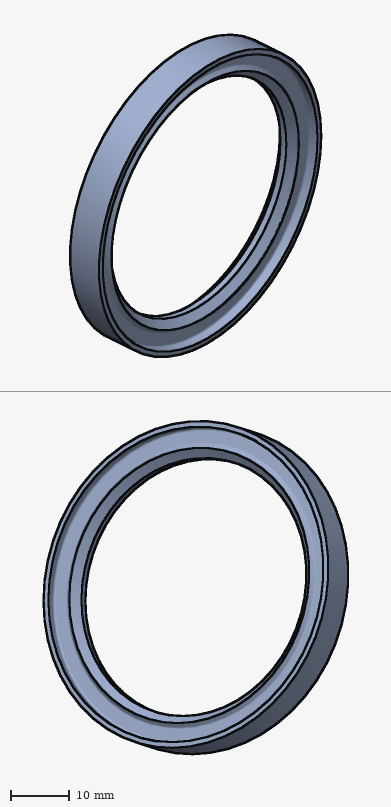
import cadquery as cq

outer_radius = 57 / 2
rim_inner_radius = 55.0 / 2
lip_base_radius = 24.8
lip_crest_radius = 24.0
bore_radius = 45.0 / 2

ring_width = 6.7
floor_depth = 1.9
lip_crest_depth = 1.15
bore_start_depth = 2.7

corner_fillet = 0.4
selection_margin = 0.05

side_outline = [
    (0, outer_radius),
    (0, rim_inner_radius),
    (floor_depth, rim_inner_radius),
    (floor_depth, lip_base_radius),
    (lip_crest_depth, lip_crest_radius),
    (bore_start_depth, bore_radius),
]

mirrored_outline = [(ring_width - depth, radius) for depth, radius in reversed(side_outline)]

ring = (
    cq.Workplane("XY")
    .polyline(side_outline + mirrored_outline)
    .close()
    .revolve(360, (0, 0, 0), (1, 0, 0))
)


def edges_at(x):
    """Select the circular edges that lie in the plane at x."""
    return cq.selectors.BoxSelector(
        (x - selection_margin, -outer_radius, -outer_radius),
        (x + selection_margin, outer_radius, outer_radius),
    )


for floor_x in (floor_depth, ring_width - floor_depth):
    ring = ring.edges("%CIRCLE").edges(edges_at(floor_x)).fillet(corner_fillet)

result = ring